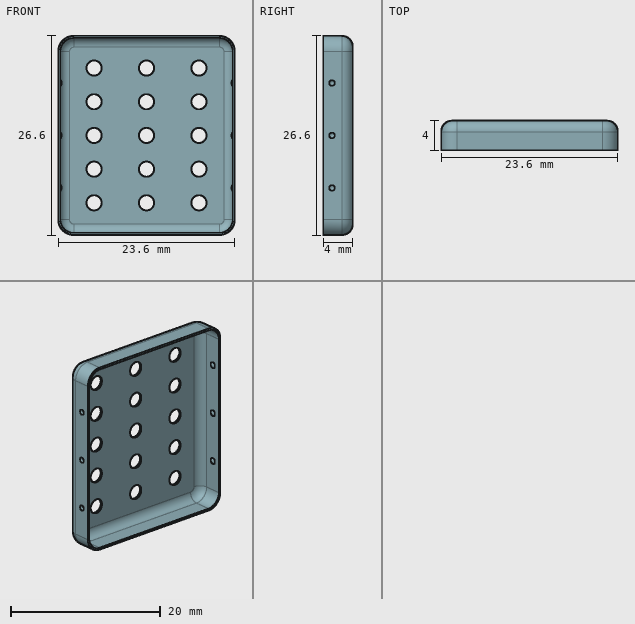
import cadquery as cq

width = 23.6
depth = 4.0
height = 26.6
wall = 0.3
corner_radius = 2.1
floor_edge_radius = 1.5

hole_diameter = 2.0
hole_columns = 3
hole_rows = 5
column_pitch = 7.0
row_pitch = 4.5

dimple_count = 3
dimple_pitch = 7.0
hollow_rim_radius = 0.37
bump_rim_radius = 0.43
dimple_depth = 0.19
dimple_from_open_edge = 1.2

open_face_y = -depth / 2


def rounded_block(inset):
    """Block inset on its sides and floor, with rounded corners and floor edge."""
    return (
        cq.Workplane("XZ", origin=(0, open_face_y, 0))
        .rect(width - 2 * inset, height - 2 * inset)
        .extrude(-(depth - inset))
        .edges("|Y")
        .fillet(corner_radius - inset)
        .faces(">Y")
        .edges()
        .fillet(floor_edge_radius - inset)
    )


def floor_holes():
    """Cylinders for the grid of holes through the floor."""
    return (
        cq.Workplane("XZ", origin=(0, open_face_y, 0))
        .rarray(column_pitch, row_pitch, hole_columns, hole_rows)
        .circle(hole_diameter / 2)
        .extrude(-depth)
    )


def side_caps(rim_radius, face_x):
    """Domed caps on both side walls, bulging inwards from their flat bases at +/- face_x."""
    ball_radius = (rim_radius**2 + dimple_depth**2) / (2 * dimple_depth)
    half_rim = rim_radius / 2
    half_rim_rise = (ball_radius**2 - half_rim**2) ** 0.5 - (ball_radius - dimple_depth)
    cap = (
        cq.Workplane("XY")
        .moveTo(face_x, 0)
        .lineTo(face_x, rim_radius)
        .threePointArc((face_x - half_rim_rise, half_rim), (face_x - dimple_depth, 0))
        .close()
        .revolve(360, (0, 0), (1, 0))
    )
    first_z = -dimple_pitch * (dimple_count - 1) / 2
    caps = cq.Workplane("XY")
    for i in range(dimple_count):
        placed = cap.translate((0, open_face_y + dimple_from_open_edge, first_z + i * dimple_pitch))
        caps = caps.add(placed).add(placed.mirror("YZ"))
    return caps.combine()


tray = rounded_block(0).cut(rounded_block(wall)).cut(floor_holes())

bumps = side_caps(bump_rim_radius, width / 2 - wall)
hollows = side_caps(hollow_rim_radius, width / 2)
result = tray.union(bumps).cut(hollows)